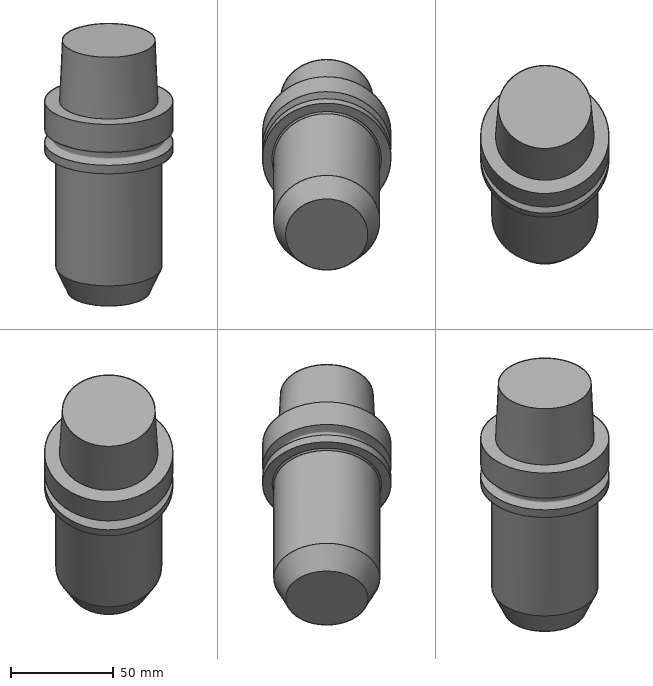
import cadquery as cq

total_height = 132.0
flange_top = 100.0
flange_bottom = 74.0
nose_height = 13.0

flange_diameter = 63.0
groove_diameter = 55.0
body_diameter = 52.0
nose_diameter = 40.3
shank_base_diameter = 48.3
shank_top_diameter = 45.5

groove_center = 82.0
groove_mouth_width = 6.9
groove_floor_width = 3.2
groove_corner_radius = 0.7

collar_diameter = 53.6
collar_height = 0.8


def turned_body():
    """Revolve the half outline of nose, body, flange and tapered shank about Z."""
    outline = [
        (0, 0),
        (nose_diameter / 2, 0),
        (body_diameter / 2, nose_height),
        (body_diameter / 2, flange_bottom - collar_height),
        (collar_diameter / 2, flange_bottom),
        (flange_diameter / 2, flange_bottom),
        (flange_diameter / 2, flange_top),
        (shank_base_diameter / 2, flange_top),
        (shank_top_diameter / 2, total_height),
        (0, total_height),
    ]
    return cq.Workplane("XZ").polyline(outline).close().revolve(360, (0, 0, 0), (0, 1, 0))


def gripper_groove():
    """Ring with a trapezoidal section and rounded floor corners, to be cut from the flange rim."""
    half_mouth = groove_mouth_width / 2
    half_floor = groove_floor_width / 2
    section = [
        (flange_diameter / 2, groove_center - half_mouth),
        (flange_diameter / 2, groove_center + half_mouth),
        (groove_diameter / 2, groove_center + half_floor),
        (groove_diameter / 2, groove_center - half_floor),
    ]
    ring = cq.Workplane("XZ").polyline(section).close().revolve(360, (0, 0, 0), (0, 1, 0))
    floor_edges = cq.selectors.RadiusNthSelector(0)
    return ring.edges("%CIRCLE").edges(floor_edges).fillet(groove_corner_radius)


result = turned_body().cut(gripper_groove())